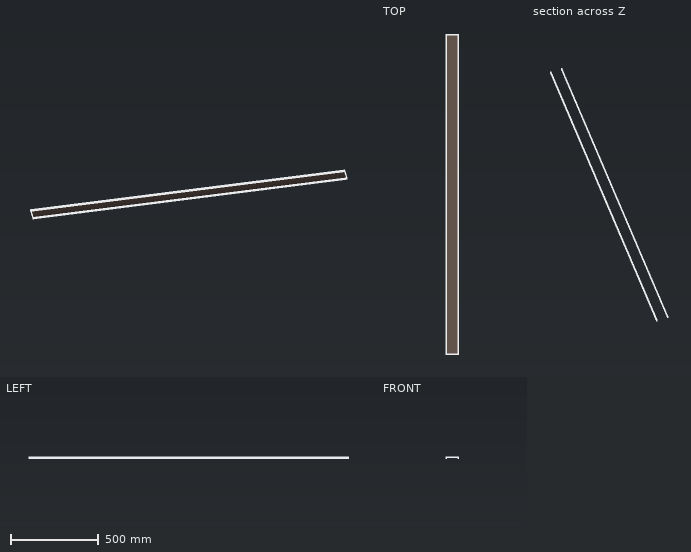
import cadquery as cq

width = 69.85
length = 1828.8
height = 8.89
wall = 1.524

ledge_reach = wall
ledge_height = 2.4
ledge_raise = 0.8


def channel():
    """Top sheet with a flange along each long side, centred on the origin."""
    outer_bar = cq.Workplane("XY").box(width, length, height)
    void = cq.Workplane("XY").box(width - 2 * wall, length, height)
    return outer_bar.cut(void.translate((0, 0, -wall)))


def flange_ledge(side):
    """Full-length ledge inside one flange; side is -1 or +1 along X."""
    ledge_width = wall + ledge_reach
    centre_x = side * (width - ledge_width) / 2
    centre_z = -height / 2 + ledge_raise + ledge_height / 2
    ledge = cq.Workplane("XY").box(ledge_width, length, ledge_height)
    return ledge.translate((centre_x, 0, centre_z))


result = channel()
for side in (-1, 1):
    result = result.union(flange_ledge(side))
result = result.clean()